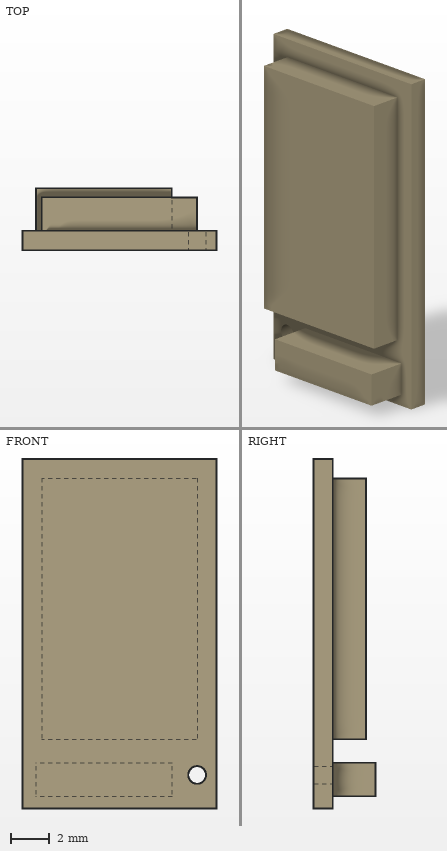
import cadquery as cq

board_width = 10.0
board_thickness = 1.0
board_height = 18.0

module_inset = 1.0
module_width = board_width - 2 * module_inset
module_depth = 1.71
module_height = 13.43
module_bottom = board_height - module_inset - module_height

overall_depth = 3.2
connector_left = 0.7
connector_bottom = 0.63
connector_width = 7.0
connector_depth = overall_depth - board_thickness
connector_height = 1.73

hole_diameter = 0.9
hole_x = board_width - 1.0
hole_z = 1.73


def block_on_back(left, bottom, width, depth, height):
    """Rectangular component standing on the back face of the board."""
    block = cq.Workplane("XY").box(width, depth, height, centered=False)
    return block.translate((left, board_thickness, bottom))


board = cq.Workplane("XY").box(board_width, board_thickness, board_height, centered=False)

hole = (
    cq.Workplane("XZ")
    .center(hole_x, hole_z)
    .circle(hole_diameter / 2)
    .extrude(-board_thickness)
)

module = block_on_back(module_inset, module_bottom, module_width, module_depth, module_height)
connector = block_on_back(
    connector_left, connector_bottom, connector_width, connector_depth, connector_height
)

result = board.cut(hole).union(module).union(connector)